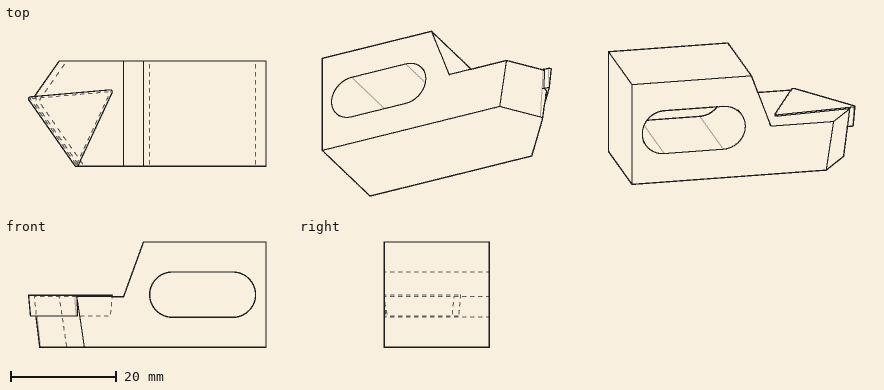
import cadquery as cq
import math

length = 45.0
width = 20.0
height = 20.0
ledge_height = 9.65
ledge_end = 18.0
shoulder_angle = 20.0
shoulder_top = ledge_end + (height - ledge_height) * math.tan(math.radians(shoulder_angle))

slot_length = 20.02
slot_width = 8.55
slot_center_x = 33.0
slot_center_z = height / 2

nose_half_angle = 35.0
nose_draft = 7.0
nose_radius = 0.8
nose_apex_x = 1.95
nose_apex_y = 12.38
nose_reach = 2 * length

insert_top = 9.9
insert_thickness = 3.95
insert_bottom = insert_top - insert_thickness
insert_inradius = 4.75
corner_radius = 0.4
bottom_corner_radius = 0.05
insert_draft = math.degrees(math.atan((corner_radius - bottom_corner_radius) / insert_thickness))
first_corner_angle = 35.0
corner_spacing = 120.0
corner_angles = [first_corner_angle + corner_spacing * i for i in range(3)]
corner_half_arc = corner_spacing / 2
corner_center_distance = 2 * (insert_inradius - corner_radius)
insert_center_x = corner_radius - corner_center_distance * math.cos(math.radians(corner_angles[1]))
insert_center_y = corner_radius - corner_center_distance * math.sin(math.radians(corner_angles[2]))


def polar(center, radius, angle):
    """Point at a distance and direction (degrees) from a center."""
    return (
        center[0] + radius * math.cos(math.radians(angle)),
        center[1] + radius * math.sin(math.radians(angle)),
    )


def make_block():
    """Stepped side profile extruded across the full width."""
    profile = [
        (0, 0),
        (length, 0),
        (length, height),
        (shoulder_top, height),
        (ledge_end, ledge_height),
        (0, ledge_height),
    ]
    return cq.Workplane("XZ").polyline(profile).close().extrude(-width)


def make_slot():
    return (
        cq.Workplane("XZ")
        .center(slot_center_x, slot_center_z)
        .slot2D(slot_length, slot_width)
        .extrude(-width)
    )


def make_nose_wedge():
    """Drafted wedge with a conical point, used to trim the block."""
    center = (nose_apex_x + nose_radius / math.cos(math.radians(nose_half_angle)), nose_apex_y)
    back_tangent = polar(center, nose_radius, 180 - nose_half_angle)
    tip = polar(center, nose_radius, 180)
    front_tangent = polar(center, nose_radius, 180 + nose_half_angle)
    back_end = polar(back_tangent, nose_reach, 90 - nose_half_angle)
    front_end = polar(front_tangent, nose_reach, nose_half_angle - 90)
    return (
        cq.Workplane("XY")
        .moveTo(*back_end)
        .lineTo(*back_tangent)
        .threePointArc(tip, front_tangent)
        .lineTo(*front_end)
        .close()
        .extrude(height, taper=-nose_draft)
    )


def make_insert():
    """Rounded triangle, widening upwards from its seat."""
    center = (insert_center_x, insert_center_y)
    corners = [polar(center, corner_center_distance, angle) for angle in corner_angles]
    outline = cq.Workplane("XY").workplane(offset=insert_bottom)
    outline = outline.moveTo(*polar(corners[0], bottom_corner_radius, first_corner_angle - corner_half_arc))
    for corner, angle in zip(corners, corner_angles):
        start = polar(corner, bottom_corner_radius, angle - corner_half_arc)
        if angle != first_corner_angle:
            outline = outline.lineTo(*start)
        middle = polar(corner, bottom_corner_radius, angle)
        end = polar(corner, bottom_corner_radius, angle + corner_half_arc)
        outline = outline.threePointArc(middle, end)
    return outline.close().extrude(insert_thickness, taper=-insert_draft)


insert = make_insert()
holder = make_block().intersect(make_nose_wedge()).cut(make_slot()).cut(insert)

result = cq.Compound.makeCompound([*holder.solids().vals(), *insert.solids().vals()])